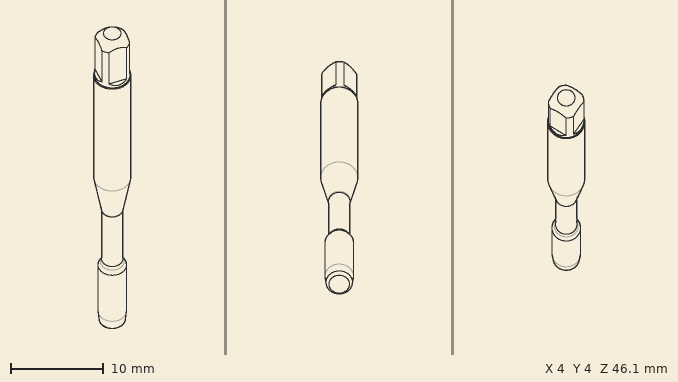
import cadquery as cq
import math

total_length = 46.1
tip_chamfer_height = 0.35
lead_height = 1.65
thread_top = 9.05
collar_bottom = 9.6
collar_top = 10.0
neck_top = 17.95
taper_bottom = 18.05
shank_bottom = 23.05
shank_top = 39.45
square_bottom = 40.05

tip_diameter = 2.2
lead_diameter = 2.85
thread_diameter = 3.1
collar_diameter = 2.6
neck_diameter = 2.3
taper_end_diameter = 2.4
shank_diameter = 4.0
drive_diameter = 3.83
drive_end_diameter = 1.9

square_width = 3.25
flat_count = 4
runout_height = 0.28

drive_radius = drive_diameter / 2
drive_chamfer_height = 1.05
shoulder_chamfer = (shank_diameter - drive_diameter) / 2


def turned(stations):
    """Solid of revolution about Z from (diameter, height) stations, bottom to top."""
    bottom = stations[0][1]
    top = stations[-1][1]
    rim = [(diameter / 2, height) for diameter, height in stations]
    outline = [(0, bottom)] + rim + [(0, top)]
    return cq.Workplane("XZ").polyline(outline).close().revolve(360, (0, 0), (0, 1))


def flat_cutter():
    """Block that mills one flat of the square, with a sloped run-out at its lower end."""
    runout_bottom = square_bottom - runout_height
    outline = [
        (square_width / 2, total_length),
        (square_width / 2, square_bottom),
        (drive_radius, runout_bottom),
        (shank_diameter, runout_bottom),
        (shank_diameter, total_length),
    ]
    return cq.Workplane("YZ").polyline(outline).close().extrude(shank_diameter / 2, both=True)


def make_shank():
    """Square-ended shank that tapers down to the neck."""
    shank = turned([
        (neck_diameter, collar_top),
        (neck_diameter, neck_top),
        (taper_end_diameter, taper_bottom),
        (shank_diameter, shank_bottom),
        (shank_diameter, shank_top - shoulder_chamfer),
        (drive_diameter, shank_top),
        (drive_diameter, total_length - drive_chamfer_height),
        (drive_end_diameter, total_length),
    ])
    cutter = flat_cutter()
    for index in range(flat_count):
        angle = index * 360 / flat_count
        shank = shank.cut(cutter.rotate((0, 0, 0), (0, 0, 1), angle))
    return shank


def make_thread_section():
    """Threaded end, plain at its major diameter, with a tapered lead and a filleted collar."""
    rise = (collar_diameter - neck_diameter) / 2
    height = collar_top - collar_bottom
    fillet_radius = (rise**2 + height**2) / (2 * rise)
    half_angle = math.asin(height / fillet_radius) / 2
    fillet_middle = (
        neck_diameter / 2 + fillet_radius * (1 - math.cos(half_angle)),
        collar_top - fillet_radius * math.sin(half_angle),
    )
    outline = (
        cq.Workplane("XZ")
        .moveTo(0, collar_top)
        .lineTo(neck_diameter / 2, collar_top)
        .threePointArc(fillet_middle, (collar_diameter / 2, collar_bottom))
        .lineTo(thread_diameter / 2, thread_top)
        .lineTo(thread_diameter / 2, lead_height)
        .lineTo(lead_diameter / 2, tip_chamfer_height)
        .lineTo(tip_diameter / 2, 0)
        .lineTo(0, 0)
        .close()
    )
    return outline.revolve(360, (0, 0), (0, 1))


shank = make_shank()
thread_section = make_thread_section()

result = cq.Compound.makeCompound([shank.val(), thread_section.val()])